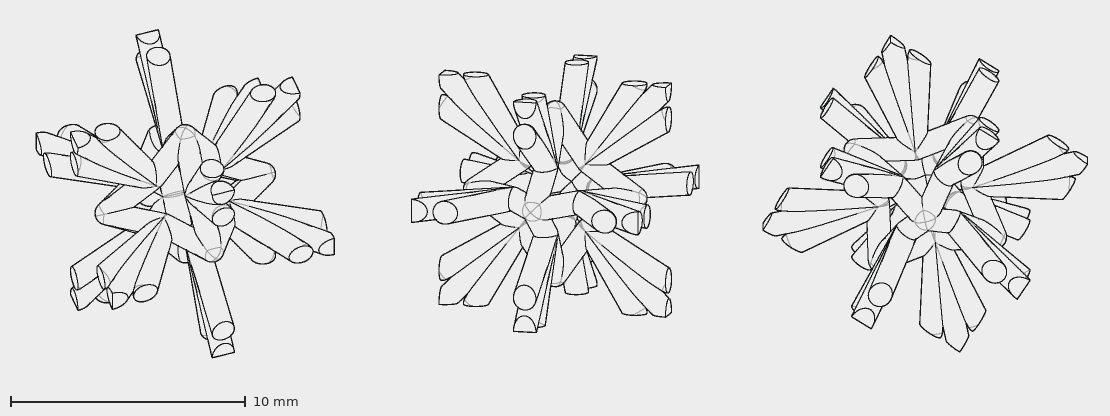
import cadquery as cq
import math

cell_size = 10.0
strut_diameter = 1.0
exit_offset = 3.54
half_cell = cell_size / 2
node_offset = half_cell - exit_offset
tip_offset = exit_offset
strut_radius = strut_diameter / 2
reach = 2 * cell_size

fan_node = (node_offset, node_offset)
star_tip = (tip_offset, 0)
side_end = (half_cell, exit_offset)
corner_end = (half_cell, half_cell)


def heading(end):
    """Angle in degrees, from +X, of a strut that runs from the fan node to the end point."""
    return math.degrees(math.atan2(end[1] - fan_node[1], end[0] - fan_node[0]))


def round_ended_strut(end):
    """Strut from the fan node to the end point, with a half ball at both ends."""
    length = math.dist(fan_node, end)
    return (
        cq.Workplane("XY")
        .moveTo(-strut_radius, 0)
        .radiusArc((0, strut_radius), strut_radius)
        .lineTo(length, strut_radius)
        .radiusArc((length + strut_radius, 0), strut_radius)
        .close()
        .revolve(360, (0, 0, 0), (1, 0, 0))
        .rotate((0, 0, 0), (0, 0, 1), heading(end))
        .translate((*fan_node, 0))
    )


def mitre_sector(start_angle, end_angle):
    """Wedge of space around the Z line through the fan node, between two headings."""
    arms = []
    for angle in (start_angle, (start_angle + end_angle) / 2, end_angle):
        turn = math.radians(angle)
        arms.append((node_offset + reach * math.cos(turn), node_offset + reach * math.sin(turn)))
    return cq.Workplane("XY").polyline([fan_node, *arms]).close().extrude(half_cell, both=True)


def tip_mitre():
    """Wedge of space where Y is at least the absolute value of Z: one of four around a star tip."""
    return (
        cq.Workplane("YZ")
        .polyline([(0, 0), (half_cell, -half_cell), (half_cell, half_cell)])
        .close()
        .extrude(cell_size)
    )


def turned(solids, axis, angles):
    """Copies of the solids turned about an axis through the cell centre."""
    return [s.rotate((0, 0, 0), axis, angle) for angle in angles for s in solids]


diagonal = heading(corner_end)
corner_mitre = (diagonal + heading(side_end)) / 2
side_mitre = (heading(side_end) + heading(star_tip)) / 2
node_mitre = diagonal - 180

corner_sector = mitre_sector(corner_mitre, 2 * diagonal - corner_mitre)
corner_strut = round_ended_strut(corner_end).intersect(corner_sector)
side_strut = round_ended_strut(side_end).intersect(mitre_sector(side_mitre, corner_mitre))
star_strut = round_ended_strut(star_tip).intersect(mitre_sector(node_mitre, side_mitre))
star_strut = star_strut.intersect(tip_mitre())

cell = cq.Workplane("XY").box(cell_size, cell_size, cell_size)
corner, side, star = [s.intersect(cell).val() for s in (corner_strut, side_strut, star_strut)]

quadrant = [corner, *turned([side, star], (1, 1, 0), (0, 180))]
planar_frame = turned(quadrant, (0, 0, 1), (0, 90, 180, 270))
pieces = turned(planar_frame, (1, 1, 1), (0, 120, 240))
result = cq.Workplane(pieces[0].fuse(*pieces[1:]).clean()).solids()